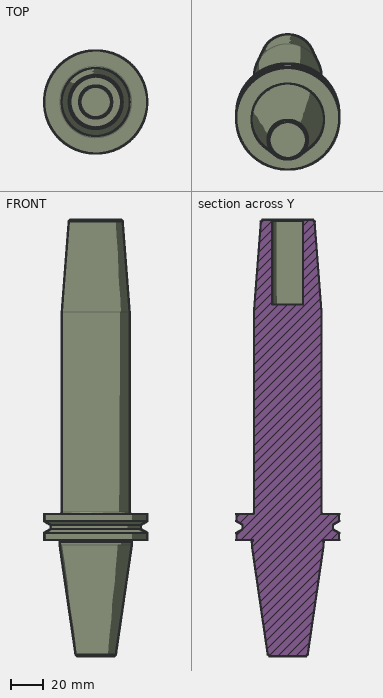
import cadquery as cq
import math

TOTAL_LENGTH = 268.5
GAUGE_HEIGHT = 68.5
COLLAR_TOP = 70.3
FLANGE_BOTTOM = 71.5
FLANGE_TOP = 87.5
GROOVE_CENTER = 79.5
NOSE_BOTTOM = 211.8

GAUGE_RADIUS = 22.3
NECK_RADIUS = 21.5
FLANGE_RADIUS = 63.5 / 2
GROOVE_FLOOR_RADIUS = 28.0
BODY_RADIUS = 21.0
NOSE_TIP_RADIUS = 16.6
BORE_RADIUS = 9.5

TAPER_RATIO = 7 / 24
GROOVE_FLOOR_WIDTH = 2.7
GROOVE_WALL_ANGLE = 30.0
TAPER_END_CHAMFER = 1.0
BODY_ROOT_FILLET = 1.0
NOSE_TIP_CHAMFER = 1.0
BORE_CHAMFER = 0.8
BORE_DEPTH = 52.0


def make_shank():
    """Steep taper with its collar and the relieved neck under the flange."""
    end_radius = GAUGE_RADIUS - GAUGE_HEIGHT * TAPER_RATIO / 2
    chamfer_top_radius = end_radius + TAPER_END_CHAMFER * TAPER_RATIO / 2
    return (
        cq.Workplane("XZ")
        .lineTo(end_radius - TAPER_END_CHAMFER, 0)
        .lineTo(chamfer_top_radius, TAPER_END_CHAMFER)
        .lineTo(GAUGE_RADIUS, GAUGE_HEIGHT)
        .lineTo(GAUGE_RADIUS, COLLAR_TOP)
        .lineTo(NECK_RADIUS, FLANGE_BOTTOM)
        .lineTo(0, FLANGE_BOTTOM)
        .close()
        .revolve(360, (0, 0), (0, 1))
    )


def make_flange():
    """Round flange with a V-shaped gripper groove around its rim."""
    floor_half = GROOVE_FLOOR_WIDTH / 2
    groove_depth = FLANGE_RADIUS - GROOVE_FLOOR_RADIUS
    mouth_half = floor_half + groove_depth * math.tan(math.radians(GROOVE_WALL_ANGLE))
    return (
        cq.Workplane("XZ")
        .moveTo(0, FLANGE_BOTTOM)
        .lineTo(FLANGE_RADIUS, FLANGE_BOTTOM)
        .lineTo(FLANGE_RADIUS, GROOVE_CENTER - mouth_half)
        .lineTo(GROOVE_FLOOR_RADIUS, GROOVE_CENTER - floor_half)
        .lineTo(GROOVE_FLOOR_RADIUS, GROOVE_CENTER + floor_half)
        .lineTo(FLANGE_RADIUS, GROOVE_CENTER + mouth_half)
        .lineTo(FLANGE_RADIUS, FLANGE_TOP)
        .lineTo(0, FLANGE_TOP)
        .close()
        .revolve(360, (0, 0), (0, 1))
    )


def make_body():
    """Long cylinder, filleted at its root, ending in a conical nose."""
    arc_offset = BODY_ROOT_FILLET * (1 - math.sqrt(0.5))
    return (
        cq.Workplane("XZ")
        .moveTo(0, FLANGE_TOP)
        .lineTo(BODY_RADIUS + BODY_ROOT_FILLET, FLANGE_TOP)
        .threePointArc(
            (BODY_RADIUS + arc_offset, FLANGE_TOP + arc_offset),
            (BODY_RADIUS, FLANGE_TOP + BODY_ROOT_FILLET),
        )
        .lineTo(BODY_RADIUS, NOSE_BOTTOM)
        .lineTo(NOSE_TIP_RADIUS, TOTAL_LENGTH - NOSE_TIP_CHAMFER)
        .lineTo(NOSE_TIP_RADIUS - NOSE_TIP_CHAMFER, TOTAL_LENGTH)
        .lineTo(0, TOTAL_LENGTH)
        .close()
        .revolve(360, (0, 0), (0, 1))
    )


def make_bore():
    """Blind tool bore with a chamfered mouth."""
    return (
        cq.Workplane("XZ")
        .moveTo(0, TOTAL_LENGTH - BORE_DEPTH)
        .lineTo(BORE_RADIUS, TOTAL_LENGTH - BORE_DEPTH)
        .lineTo(BORE_RADIUS, TOTAL_LENGTH - BORE_CHAMFER)
        .lineTo(BORE_RADIUS + BORE_CHAMFER, TOTAL_LENGTH)
        .lineTo(0, TOTAL_LENGTH)
        .close()
        .revolve(360, (0, 0), (0, 1))
    )


result = make_shank().union(make_flange()).union(make_body()).cut(make_bore())